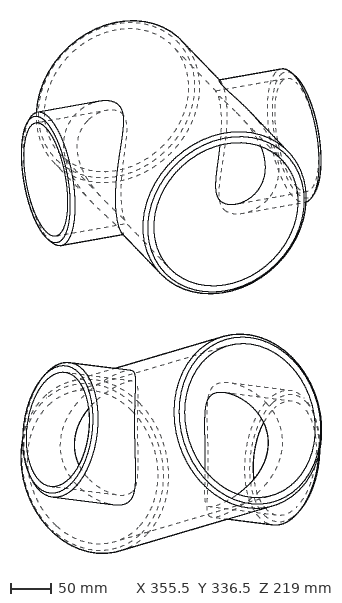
import cadquery as cq

run_length = 355.5
run_diameter = 219.0
branch_span = 336.5
branch_diameter = 168.2
wall = 12.8
bevel_length = 4.5
bevel_depth = 4.5


def centred_cylinder(plane, diameter, length):
    """Solid cylinder centred on the origin, along the normal of the plane."""
    return cq.Workplane(plane).circle(diameter / 2).extrude(length / 2, both=True)


def bevelled_cylinder(plane, diameter, length):
    """Centred cylinder with a bevel around the outside of both ends."""
    return (
        centred_cylinder(plane, diameter, length)
        .faces("%PLANE")
        .edges()
        .chamfer(bevel_length, bevel_depth)
    )


def bore(plane, diameter, length):
    """Through bore that leaves the wall thickness inside the pipe."""
    return centred_cylinder(plane, diameter - 2 * wall, length)


run = bevelled_cylinder("YZ", run_diameter, run_length)
branches = bevelled_cylinder("XZ", branch_diameter, branch_span)
run_bore = bore("YZ", run_diameter, run_length)
branch_bore = bore("XZ", branch_diameter, branch_span)

result = run.union(branches).cut(run_bore).cut(branch_bore)